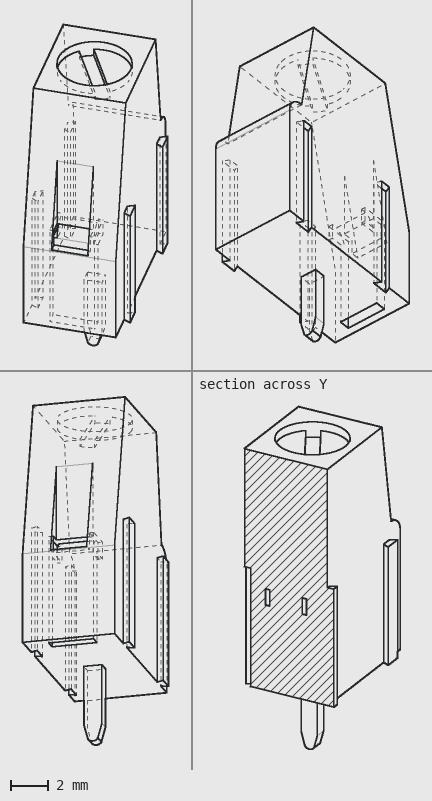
import cadquery as cq
import math


body_width = 5.1
body_depth = 10.0
body_height = 14.0
top_depth = 6.0
front_shoulder_height = 5.0
back_shoulder_height = 8.0
back_shoulder_radius = 1.0

rib_height = 7.0
rib_projection = 0.38
rib_root_width = 0.64
rib_tip_width = 1.02
rib_positions = (-3.0, 3.5)

screw_diameter = 4.0
recess_depth = 0.5
screw_slot_width = 0.8
screw_slot_depth = 0.4
screw_slot_angle = 118.0

window_width = 2.0
window_sill_height = 5.06
slot_width = 2.48
slot_ceiling_height = 6.0
slot_front_y = -4.51
slot_back_y = -3.86
jaw_radius = 1.0

pin_width = 1.0
pin_thickness = 0.7
pin_length = 4.25
pin_straight_length = 3.3
pin_shoulder_length = 4.1
pin_tip_width = 0.56

half_width = body_width / 2
half_depth = body_depth / 2


def box_between(x_range, y_range, z_range):
    """Axis-aligned box given by its limits along X, Y and Z."""
    sizes = [high - low for low, high in (x_range, y_range, z_range)]
    corner = (x_range[0], y_range[0], z_range[0])
    return cq.Workplane("XY").box(*sizes, centered=False).translate(corner)


def side_prism(profile, width):
    """Extrude a YZ outline symmetrically about X = 0."""
    return profile.extrude(width / 2, both=True)


def make_housing():
    """Housing with a sloped front, a sloped back and a rounded back shoulder."""
    half_top = top_depth / 2
    arc_start_y = half_depth - back_shoulder_radius
    arc_end_z = back_shoulder_height - back_shoulder_radius
    arc_offset = back_shoulder_radius * math.sqrt(0.5)
    profile = (
        cq.Workplane("YZ")
        .moveTo(-half_depth, 0)
        .lineTo(-half_depth, front_shoulder_height)
        .lineTo(-half_top, body_height)
        .lineTo(half_top, body_height)
        .lineTo(arc_start_y, back_shoulder_height)
        .threePointArc(
            (arc_start_y + arc_offset, arc_end_z + arc_offset),
            (half_depth, arc_end_z),
        )
        .lineTo(half_depth, 0)
        .close()
    )
    return side_prism(profile, body_width)


def make_dovetail(face_x, y):
    """Vertical dovetail bar that widens toward +X from the given face."""
    tip_x = face_x + rib_projection
    return (
        cq.Workplane("XY")
        .moveTo(face_x, y - rib_root_width / 2)
        .lineTo(tip_x, y - rib_tip_width / 2)
        .lineTo(tip_x, y + rib_tip_width / 2)
        .lineTo(face_x, y + rib_root_width / 2)
        .close()
        .extrude(rib_height)
    )


def make_screw_cut():
    """Round recess in the top plus the driver slot across the screw head."""
    head_z = body_height - recess_depth
    recess = cq.Workplane("XY", origin=(0, 0, head_z)).circle(screw_diameter / 2).extrude(recess_depth)
    slot_bar = (
        cq.Workplane("XY", origin=(0, 0, head_z - screw_slot_depth))
        .rect(screw_diameter, screw_slot_width)
        .extrude(screw_slot_depth)
        .rotate((0, 0, 0), (0, 0, 1), screw_slot_angle)
    )
    head = (
        cq.Workplane("XY", origin=(0, 0, head_z - screw_slot_depth))
        .circle(screw_diameter / 2)
        .extrude(screw_slot_depth)
    )
    return recess.union(slot_bar.intersect(head))


def make_wire_entry_cut():
    """Front window, through slot behind the front wall and the space over the jaw."""
    window_half = window_width / 2
    slot_half = slot_width / 2
    jaw_center_y = slot_back_y + jaw_radius
    window = box_between(
        (-window_half, window_half),
        (-half_depth, slot_back_y),
        (window_sill_height, body_height),
    )
    slot = box_between(
        (-slot_half, slot_half),
        (slot_front_y, slot_back_y),
        (0, slot_ceiling_height),
    )
    jaw_space = box_between(
        (-slot_half, slot_half),
        (slot_back_y, jaw_center_y),
        (window_sill_height, slot_ceiling_height),
    )
    jaw_profile = cq.Workplane("YZ").center(jaw_center_y, window_sill_height).circle(jaw_radius)
    jaw = side_prism(jaw_profile, window_width)
    return window.union(slot).union(jaw_space.cut(jaw))


def make_pin():
    """Flat solder pin, tapered toward a rounded tip."""
    half_pin = pin_width / 2
    half_tip = pin_tip_width / 2
    return (
        cq.Workplane("XZ")
        .moveTo(-half_pin, 0)
        .lineTo(-half_pin, -pin_straight_length)
        .lineTo(-half_tip, -pin_shoulder_length)
        .threePointArc((0, -pin_length), (half_tip, -pin_shoulder_length))
        .lineTo(half_pin, -pin_straight_length)
        .lineTo(half_pin, 0)
        .close()
        .extrude(pin_thickness / 2, both=True)
    )


result = make_housing().cut(make_screw_cut()).cut(make_wire_entry_cut())
for position in rib_positions:
    result = result.cut(make_dovetail(-half_width, position))
    result = result.union(make_dovetail(half_width, position))
result = result.union(make_pin())